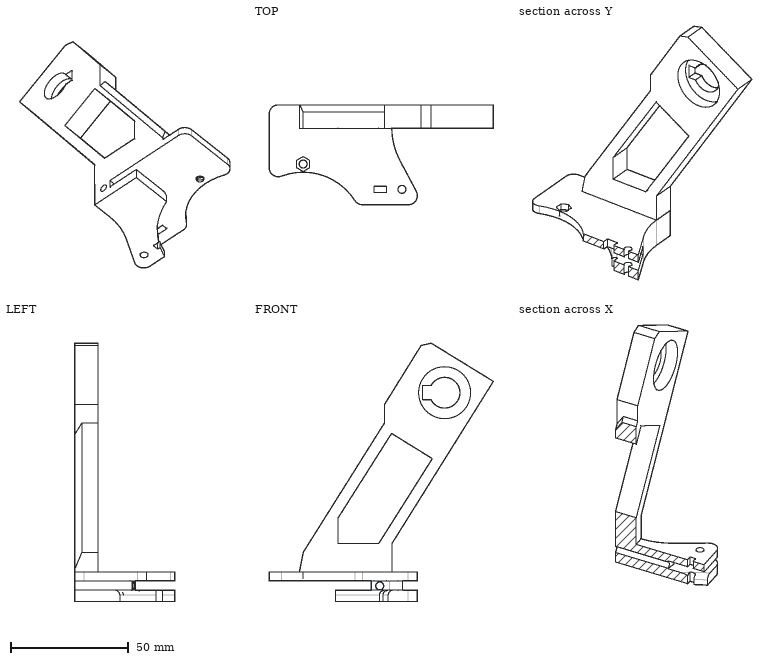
import cadquery as cq
import math

clip_top = 4.9
plate_bottom = 8.8
plate_top = 12.6
part_height = 109.7
arm_thickness = 10.0
plate_depth = 42.5

corner_radius = 4.0
relief_x = 14.5
relief_y = -54.6
relief_radius = 26.0
plate_waist_x = 52.1
plate_tip_x = 63.0
flank_angle = math.radians(28)
flank_radius = 29.6

clip_left_x = 28.2
clip_relief_radius = 38.1
clip_edge_radius = 2.2
spacer_left_x = 43.3
spacer_bend_x = 51.0
spacer_left_depth = 24.3
spacer_depth = 25.8

screw_diameter = 3.3
nut_across_flats = 5.5
nut_pocket_depth = 2.7
nut_x = 14.5
nut_y = -25.1
pivot_x = 56.4
hole_row_y = -35.9
slot_x = 47.2
slot_length = 5.3
slot_width = 2.6
spacer_hole_x = 47.0
spacer_hole_z = 6.7

foot_left_x = 12.8
foot_right_x = 52.2
foot_top_z = 24.7
knee_x = 14.5
knee_z = 21.0
pad_left_x = 48.9
pad_step_z = 75.8
pad_corner_z = 83.6
pad_chamfer_start = (64.5, 108.7)
pad_chamfer_end_x = 68.8
pad_right = (95.2, 93.5)
window_left_x = 29.3
window_left_top_z = 35.4
window_upper_left = (52.0, 71.3)
window_upper_right = (69.2, 60.7)
window_lower_right_x = 46.5
bevel_depth = 3.1
bevel_width = 2.6

seat_x = 74.5
seat_z = 88.7
seat_diameter = 22.1
seat_depth = 5.5
bore_diameter = 13.0
key_reach = 9.3
key_width = 5.9


def polar(center, radius, angle):
    return (center[0] + radius * math.cos(angle), center[1] + radius * math.sin(angle))


def plate_outline(bottom, height):
    """Plate outline of tangent arcs and lines, extruded up from the given level."""
    relief = (relief_x, relief_y)
    blend_reach = relief_radius + corner_radius

    left_center_x = corner_radius
    left_angle = math.acos((left_center_x - relief_x) / blend_reach)
    left_center = polar(relief, blend_reach, left_angle)
    right_center_y = corner_radius - plate_depth
    right_angle = math.asin((right_center_y - relief_y) / blend_reach)
    right_center = polar(relief, blend_reach, right_angle)
    tip_center = (plate_tip_x - corner_radius, right_center_y)

    flank_end = polar(tip_center, corner_radius, flank_angle)
    waist_center_x = plate_waist_x + flank_radius
    arc_end_x = waist_center_x - flank_radius * math.cos(flank_angle)
    arc_end_y = flank_end[1] + (flank_end[0] - arc_end_x) / math.tan(flank_angle)
    waist_center = (waist_center_x, arc_end_y + flank_radius * math.sin(flank_angle))

    diagonal = math.radians(225)
    back_left_center = (corner_radius, -corner_radius)
    outline = (
        cq.Workplane("XY", origin=(0, 0, bottom))
        .moveTo(plate_waist_x, 0)
        .lineTo(corner_radius, 0)
        .threePointArc(polar(back_left_center, corner_radius, math.radians(135)), (0, -corner_radius))
        .lineTo(0, left_center[1])
        .threePointArc(
            polar(left_center, corner_radius, diagonal),
            polar(relief, relief_radius, left_angle),
        )
        .threePointArc(
            polar(relief, relief_radius, (left_angle + right_angle) / 2),
            polar(relief, relief_radius, right_angle),
        )
        .threePointArc(
            polar(right_center, corner_radius, (right_angle + math.radians(90)) / 2 + math.pi),
            (right_center[0], -plate_depth),
        )
        .lineTo(tip_center[0], -plate_depth)
        .threePointArc(polar(tip_center, corner_radius, math.radians(-30)), flank_end)
        .lineTo(arc_end_x, arc_end_y)
        .threePointArc(
            polar(waist_center, flank_radius, math.pi + flank_angle / 2),
            (plate_waist_x, waist_center[1]),
        )
        .close()
    )
    return outline.extrude(height)


def make_spacer():
    height = plate_bottom - clip_top
    envelope = (
        cq.Workplane("XY", origin=(0, 0, clip_top))
        .polyline([
            (spacer_left_x, 0),
            (spacer_left_x, -spacer_left_depth),
            (spacer_bend_x, -spacer_depth),
            (plate_tip_x, -spacer_depth),
            (plate_tip_x, 0),
        ])
        .close()
        .extrude(height)
    )
    return plate_outline(clip_top, height).intersect(envelope)


def make_clip():
    """Lower jaw: plate outline trimmed on the left, with a rounded finger relief."""
    right_part = cq.Workplane("XY").box(
        plate_tip_x - clip_left_x, plate_depth, clip_top, centered=False
    ).translate((clip_left_x, -plate_depth, 0))
    flare_radius = clip_relief_radius + clip_edge_radius
    relief = cq.Workplane("XY", origin=(relief_x, relief_y, 0)).circle(clip_relief_radius).extrude(clip_top)
    flare_bottom = clip_top - clip_edge_radius
    middle = clip_edge_radius * math.sqrt(0.5)
    flare = (
        cq.Workplane("XZ")
        .moveTo(0, flare_bottom)
        .lineTo(clip_relief_radius, flare_bottom)
        .threePointArc((flare_radius - middle, flare_bottom + middle), (flare_radius, clip_top))
        .lineTo(0, clip_top)
        .close()
        .revolve(360, (0, 0, 0), (0, 1, 0))
        .translate((relief_x, relief_y, 0))
    )
    return plate_outline(0, clip_top).intersect(right_part).cut(relief).cut(flare)


def make_arm():
    arm = (
        cq.Workplane("XZ")
        .polyline([
            (foot_left_x, plate_top),
            (knee_x, knee_z),
            (pad_left_x, pad_step_z),
            (pad_left_x, pad_corner_z),
            pad_chamfer_start,
            (pad_chamfer_end_x, part_height),
            pad_right,
            (foot_right_x, foot_top_z),
            (foot_right_x, plate_top),
        ])
        .close()
        .extrude(arm_thickness)
    )
    window = (
        cq.Workplane("XZ")
        .polyline([
            (window_left_x, foot_top_z),
            (window_left_x, window_left_top_z),
            window_upper_left,
            window_upper_right,
            (window_lower_right_x, foot_top_z),
        ])
        .close()
        .extrude(arm_thickness)
    )
    return arm.cut(window).cut(back_bevel()).cut(bearing_seat())


def back_bevel():
    """Wedge along the back edge of the left strut, ending at the pad and the plate."""
    run = pad_left_x - knee_x
    rise = pad_step_z - knee_z
    length = math.hypot(run, rise)
    along = cq.Plane(
        origin=(knee_x, 0, knee_z), xDir=(rise, 0, -run), normal=(run, 0, rise)
    )
    wedge = (
        cq.Workplane(along)
        .workplane(offset=-length)
        .polyline([(0, 0), (bevel_width, 0), (0, -bevel_depth)])
        .close()
        .extrude(3 * length)
    )
    limit = cq.Workplane("XY").box(
        pad_left_x, arm_thickness, part_height, centered=False
    ).translate((0, -arm_thickness, plate_top))
    return wedge.intersect(limit)


def bearing_seat():
    """Front counterbore over a through bore with a keyway on its left."""
    seat_plane = cq.Workplane("XZ", origin=(seat_x, 0, seat_z))
    bore = seat_plane.circle(bore_diameter / 2).extrude(arm_thickness)
    key = seat_plane.center(-key_reach / 2, 0).rect(key_reach, key_width).extrude(arm_thickness)
    counterbore = (
        seat_plane.workplane(offset=arm_thickness - seat_depth)
        .circle(seat_diameter / 2)
        .extrude(seat_depth)
    )
    return bore.union(key).union(counterbore)


def plate_holes():
    screw_holes = (
        cq.Workplane("XY")
        .pushPoints([(nut_x, nut_y), (pivot_x, hole_row_y)])
        .circle(screw_diameter / 2)
        .extrude(plate_top)
    )
    slot = cq.Workplane("XY").center(slot_x, hole_row_y).rect(slot_length, slot_width).extrude(plate_top)
    nut_pocket = (
        cq.Workplane("XY", origin=(nut_x, nut_y, plate_top - nut_pocket_depth))
        .polygon(6, nut_across_flats, circumscribed=True)
        .extrude(nut_pocket_depth)
    )
    spacer_hole = (
        cq.Workplane("XZ", origin=(spacer_hole_x, 0, spacer_hole_z))
        .circle(screw_diameter / 2)
        .extrude(plate_depth)
    )
    return screw_holes.union(slot).union(nut_pocket).union(spacer_hole)


result = (
    plate_outline(plate_bottom, plate_top - plate_bottom)
    .union(make_spacer())
    .union(make_clip())
    .union(make_arm())
    .cut(plate_holes())
)